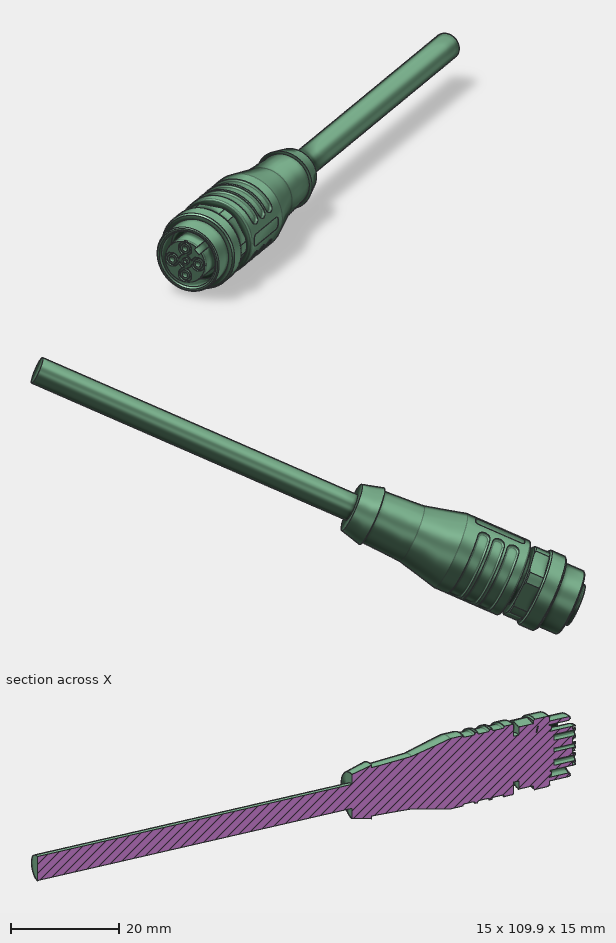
import cadquery as cq
import math

length = 109.9
face_y = -length / 2

sleeve_front = 1.1
ring_front = 5.3
ring_back = 8.7
hex_back = 11.6
body_front = 12.6
body_back = 25.6
boot_kink = 33.5
collar_front = 41.7
boot_back = 45.7
cavity_depth = 5.5

cable_dia = 5.2
boot_end_dia = 9.3
collar_dia = 11.4
boot_neck_dia = 10.3
kink_dia = 11.2
body_dia = 15.0
neck_dia = 9.8
ring_dia = 15.0
sleeve_dia = 12.7
sleeve_mouth_dia = 12.3
bore_dia = 11.0
bore_mouth_dia = 11.6
insert_dia = 8.4

body_rim_radius = 0.3
ring_chamfer = 0.3

hex_across_flats = 13.2
hex_corner_dia = 14.2
hex_chamfer = 0.2

groove_count = 3
groove_pitch = 3.0
groove_width = 2.4
groove_middle = 18.8
groove_end_z = 2.7
groove_floor_dia = 14.2
groove_floor_fillet = 0.3

label_front = 14.0
label_back = 24.0
label_width = 2.4
label_corner = 0.8
label_face_x = 7.4

contact_spacing = 2.6
recess_dia = 2.7
recess_depth = 0.5
outer_contact_dia = 1.9
outer_socket_dia = 1.1
middle_contact_dia = 1.3
middle_socket_dia = 0.7
socket_depth = 4.4

insert_chamfer_length = 0.4
insert_chamfer_width = 0.1
keyway_width = 1.3
keyway_floor_radius = 3.4
keyway_angle = 45


def revolve_profile(points):
    """Revolve (diameter, distance from face) points, closed along the axis, about Y."""
    outline = [(0, face_y + points[0][1])]
    outline += [(dia / 2, face_y + back) for dia, back in points]
    outline += [(0, face_y + points[-1][1])]
    return cq.Workplane("XY").polyline(outline).close().revolve(360, (0, 0, 0), (0, 1, 0))


def cylinder(dia, front, back, x=0, z=0):
    """Cylinder along Y between two distances from the contact face."""
    plane = cq.Workplane("XZ", origin=(0, face_y + front, 0))
    return plane.center(x, z).circle(dia / 2).extrude(front - back)


def make_body():
    """Moulded grip with its front neck, the flexible boot behind it, and the cable."""
    neck = cylinder(neck_dia, hex_back, body_front)
    grip = cylinder(body_dia, body_front, body_back).faces("<Y").edges().fillet(body_rim_radius)
    boot = revolve_profile([
        (body_dia, body_back),
        (kink_dia, boot_kink),
        (boot_neck_dia, collar_front),
        (collar_dia, collar_front),
        (boot_end_dia, boot_back),
    ])
    cable = cylinder(cable_dia, boot_back, length)
    grip = grip.cut(make_grooves()).cut(make_label_recesses())
    return grip.union(neck).union(boot).union(cable)


def make_groove(y, side):
    """Cutter for one groove: a round-ended slot along X down to a cylindrical floor."""
    height = body_dia
    floor_middle = (0, y, side * groove_floor_dia / 2)
    slot = (
        cq.Workplane("YZ")
        .center(y, side * (groove_end_z + height / 2))
        .slot2D(height, groove_width, 90)
        .extrude(body_dia, both=True)
    )
    slot = slot.cut(cylinder(groove_floor_dia, body_front, body_back))
    return slot.faces(cq.NearestToPointSelector(floor_middle)).edges().fillet(groove_floor_fillet)


def make_grooves():
    """Cutters for all grooves, in a row along Y above and below."""
    first_y = face_y + groove_middle - (groove_count - 1) / 2 * groove_pitch
    grooves = cq.Workplane("YZ")
    for index in range(groove_count):
        for side in (1, -1):
            grooves = grooves.add(make_groove(first_y + index * groove_pitch, side))
    return grooves.combine()


def make_label_recesses():
    """Cutters for the shallow flat-bottomed recesses at +X and -X."""
    recess_length = label_back - label_front
    middle_y = face_y + (label_front + label_back) / 2
    right = (
        cq.Workplane("YZ", origin=(label_face_x, middle_y, 0))
        .rect(recess_length, label_width)
        .extrude(body_dia / 2)
        .edges("|X")
        .fillet(label_corner)
    )
    return right.union(right.mirror("YZ"))


def make_hexagon():
    """Hexagon with flats facing +Z and -Z and its corners turned round."""
    blank = revolve_profile([
        (hex_corner_dia, ring_back),
        (hex_corner_dia, hex_back - hex_chamfer),
        (hex_corner_dia - 2 * hex_chamfer, hex_back),
    ])
    prism = (
        cq.Workplane("XZ", origin=(0, face_y + ring_back, 0))
        .polygon(6, hex_across_flats / math.cos(math.pi / 6))
        .extrude(ring_back - hex_back)
    )
    return blank.intersect(prism)


def make_nut():
    """Coupling nut: open sleeve in front, ring in the middle, hexagon behind."""
    mouth_chamfer = (sleeve_dia - sleeve_mouth_dia) / 2
    nut = revolve_profile([
        (sleeve_mouth_dia, sleeve_front),
        (sleeve_dia, sleeve_front + mouth_chamfer),
        (sleeve_dia, ring_front),
        (ring_dia - 2 * ring_chamfer, ring_front),
        (ring_dia, ring_front + ring_chamfer),
        (ring_dia, ring_back - ring_chamfer),
        (ring_dia - 2 * ring_chamfer, ring_back),
    ])
    bore_chamfer = (bore_mouth_dia - bore_dia) / 2
    cavity = revolve_profile([
        (bore_mouth_dia, sleeve_front),
        (bore_dia, sleeve_front + bore_chamfer),
        (bore_dia, cavity_depth),
    ])
    return nut.cut(cavity).union(make_hexagon())


def make_seal():
    """Sealing ring filling the gap between insert and bore, half sunk in the cavity bottom."""
    seal_section = (bore_dia - insert_dia) / 2
    mean_radius = (bore_dia + insert_dia) / 4
    return (
        cq.Workplane("XY")
        .center(mean_radius, face_y + cavity_depth)
        .circle(seal_section / 2)
        .revolve(360, (-mean_radius, 0, 0), (-mean_radius, 1, 0))
    )


def make_insert():
    """Contact carrier with its keyway, contact recesses and sockets."""
    insert = revolve_profile([
        (insert_dia - 2 * insert_chamfer_width, 0),
        (insert_dia, insert_chamfer_length),
        (insert_dia, cavity_depth),
    ])
    keyway = (
        cq.Workplane("XY")
        .box(insert_dia, cavity_depth, keyway_width, centered=(False, False, True))
        .translate((keyway_floor_radius, face_y, 0))
        .rotate((0, 0, 0), (0, 1, 0), -keyway_angle)
    )
    insert = insert.cut(keyway)

    outer_places = [
        (contact_spacing, 0),
        (-contact_spacing, 0),
        (0, contact_spacing),
        (0, -contact_spacing),
    ]
    contacts = [(0, 0, middle_contact_dia, middle_socket_dia)]
    contacts += [(x, z, outer_contact_dia, outer_socket_dia) for x, z in outer_places]
    for x, z, _, _ in contacts:
        insert = insert.cut(cylinder(recess_dia, 0, recess_depth, x, z))
    for x, z, contact_dia, socket_bore in contacts:
        insert = insert.union(cylinder(contact_dia, 0, recess_depth, x, z))
        insert = insert.cut(cylinder(socket_bore, 0, socket_depth, x, z))
    return insert


result = make_body().union(make_nut()).union(make_insert()).union(make_seal())